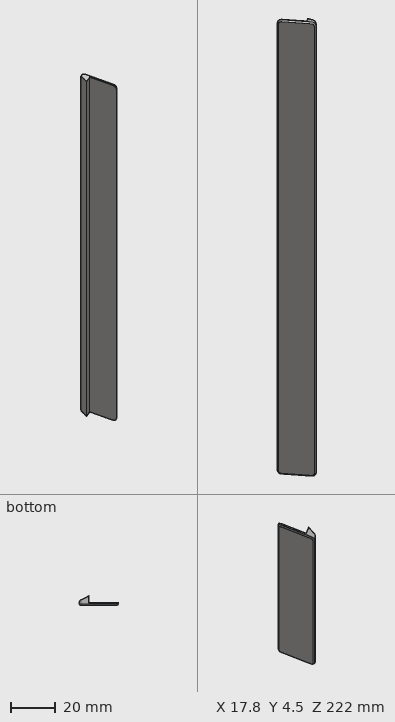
import cadquery as cq
import math

length = 222.0
width = 17.8
depth = 4.5

plate_thickness = 1.3
back_edge_chamfer = 0.7
lip_width = 4.5
nose_start_depth = 0.9
nose_end_depth = 2.7
nose_width = 0.9
nose_bulge = 0.29
flare_sag = 0.13

corner_radius = 2.0


def arc_midpoint(start, end, sag):
    """Point halfway from start to end, moved off the chord to its left by the sag."""
    run = end[0] - start[0]
    rise = end[1] - start[1]
    chord = math.hypot(run, rise)
    mid_x = (start[0] + end[0]) / 2 - sag * rise / chord
    mid_y = (start[1] + end[1]) / 2 + sag * run / chord
    return mid_x, mid_y


def cross_section():
    """Closed outline of plate and lip, with the back of the plate at Y = 0."""
    nose_start = (0, -nose_start_depth)
    nose_end = (nose_width, -nose_end_depth)
    lip_tip = (lip_width, -depth)
    nose_middle = arc_midpoint(nose_start, nose_end, -nose_bulge)
    flare_middle = arc_midpoint(nose_end, lip_tip, flare_sag)
    return (
        cq.Workplane("XY")
        .moveTo(0, 0)
        .lineTo(*nose_start)
        .threePointArc(nose_middle, nose_end)
        .threePointArc(flare_middle, lip_tip)
        .lineTo(lip_width, -plate_thickness)
        .lineTo(width, -plate_thickness)
        .lineTo(width, 0)
        .close()
    )


strip = cross_section().extrude(length)

silhouette = (
    cq.Workplane("XZ")
    .rect(width, length)
    .extrude(depth)
    .edges("|Y")
    .fillet(corner_radius)
    .translate((width / 2, 0, length / 2))
)
strip = strip.intersect(silhouette)

result = strip.faces(">Y").edges().chamfer(back_edge_chamfer)